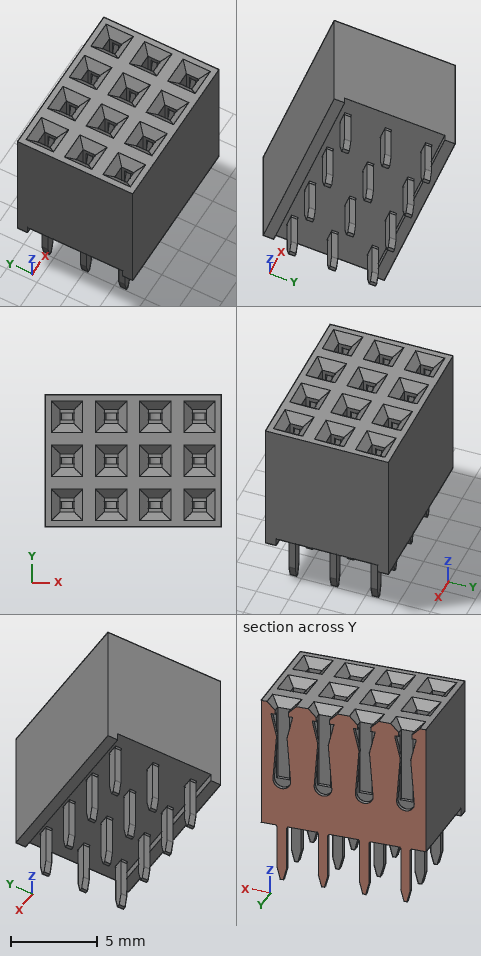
import cadquery as cq

PITCH = 2.54
COLUMNS = 4
ROWS = 3
LENGTH = COLUMNS * PITCH
WIDTH = ROWS * PITCH
HEIGHT = 8.5

RAIL_WIDTH = 0.66
RAIL_HEIGHT = 0.5

SOCKET_SIZE = 0.8
LEAD_IN = 0.5
MOUTH_SIZE = SOCKET_SIZE + 2 * LEAD_IN
LEAD_IN_BOTTOM = HEIGHT - LEAD_IN
SOCKET_FLOOR = 3.5

CONTACT_THICKNESS = 0.4
LINTEL_HEIGHT = 0.28
FORK_TOP = LEAD_IN_BOTTOM - LINTEL_HEIGHT
FORK_ENTRY_HALF_GAP = 0.65
NIP_HALF_GAP = 0.31
NIP_DEPTH = 1.4
NIP_Z = FORK_TOP - NIP_DEPTH
FORK_ROOT_RADIUS = 0.53
FORK_ROOT_CENTER_Z = SOCKET_FLOOR
TINE_WIDTH = 0.25
FORK_HALF_WIDTH = FORK_ROOT_RADIUS + TINE_WIDTH
FORK_BASE = 1.1

TAIL_HALF_WIDTH = 0.3
TAIL_LENGTH = 3.0
TIP_HALF_WIDTH = 0.1
TIP_LENGTH = 0.75
TAIL_TOP = 0.4


def contact_plate(outline):
    """Extrude an XZ outline to the contact thickness, centred on Y = 0."""
    return outline.close().extrude(CONTACT_THICKNESS / 2, both=True)


def make_housing():
    block = cq.Workplane("XY").box(LENGTH, WIDTH, HEIGHT, centered=(True, True, False))
    channel = cq.Workplane("XY").box(
        LENGTH, WIDTH - 2 * RAIL_WIDTH, RAIL_HEIGHT, centered=(True, True, False)
    )
    return block.cut(channel)


def make_socket():
    """Tapered mouth and the straight square hole beneath it."""
    mouth = (
        cq.Workplane("XY", origin=(0, 0, LEAD_IN_BOTTOM))
        .rect(SOCKET_SIZE, SOCKET_SIZE)
        .workplane(offset=LEAD_IN)
        .rect(MOUTH_SIZE, MOUTH_SIZE)
        .loft(ruled=True)
    )
    hole = (
        cq.Workplane("XY", origin=(0, 0, SOCKET_FLOOR))
        .rect(SOCKET_SIZE, SOCKET_SIZE)
        .extrude(LEAD_IN_BOTTOM - SOCKET_FLOOR)
    )
    return mouth.union(hole)


def make_fork_gap():
    """Opening between the tines: tapers to the nip, then widens to a round root."""
    outline = (
        cq.Workplane("XZ")
        .moveTo(-FORK_ENTRY_HALF_GAP, FORK_TOP)
        .lineTo(-NIP_HALF_GAP, NIP_Z)
        .lineTo(-FORK_ROOT_RADIUS, FORK_ROOT_CENTER_Z)
        .threePointArc(
            (0, FORK_ROOT_CENTER_Z - FORK_ROOT_RADIUS),
            (FORK_ROOT_RADIUS, FORK_ROOT_CENTER_Z),
        )
        .lineTo(NIP_HALF_GAP, NIP_Z)
        .lineTo(FORK_ENTRY_HALF_GAP, FORK_TOP)
    )
    return contact_plate(outline)


def make_contact():
    """Solid contact blank: fork plate flaring out from a straight tail, and a tapered tip."""
    right_edge = [
        (FORK_HALF_WIDTH, FORK_TOP),
        (FORK_HALF_WIDTH, FORK_BASE),
        (TAIL_HALF_WIDTH, TAIL_TOP),
        (TAIL_HALF_WIDTH, TIP_LENGTH - TAIL_LENGTH),
        (TIP_HALF_WIDTH, -TAIL_LENGTH),
    ]
    left_edge = [(-x, z) for x, z in reversed(right_edge)]
    return contact_plate(cq.Workplane("XZ").polyline(right_edge + left_edge))


def at_every_position(shape):
    """Copy a shape to every contact position as one compound."""
    solid = shape.val()
    copies = []
    for column in range(COLUMNS):
        for row in range(ROWS):
            x = (column - (COLUMNS - 1) / 2) * PITCH
            y = (row - (ROWS - 1) / 2) * PITCH
            copies.append(solid.translate(cq.Vector(x, y, 0)))
    return cq.Workplane(cq.Compound.makeCompound(copies))


result = (
    make_housing()
    .cut(at_every_position(make_socket()))
    .union(at_every_position(make_contact()))
    .cut(at_every_position(make_fork_gap()))
)